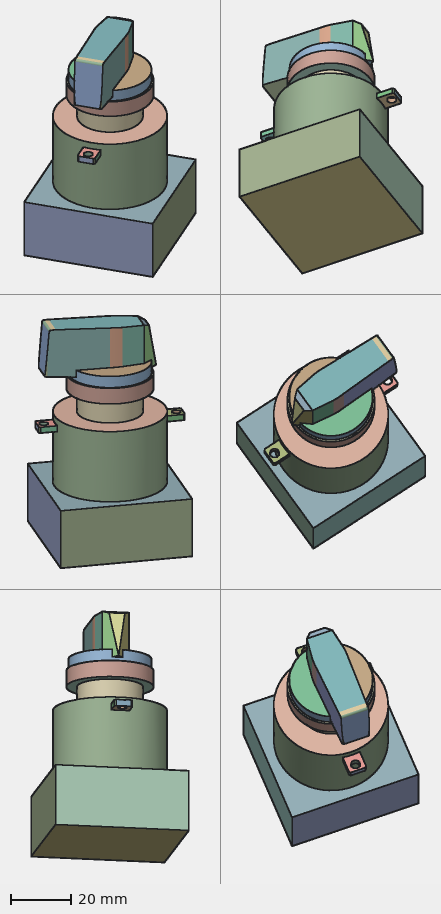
import cadquery as cq

base_side = 45.0
base_height = 20.4

barrel_diameter = 38.0
barrel_top = 45.4
neck_diameter = 22.0
neck_top = 53.5
collar_diameter = 29.0
collar_top = 59.05
disc_diameter = 27.6
disc_top = 63.0

lug_reach = 50.0 / 2
lug_width = 6.1
lug_bottom = 40.95
lug_thickness = 2.1
lug_corner = 0.5
lug_hole_diameter = 3.05
lug_hole_offset = 22.7
lug_embed = 1.55
lug_root = barrel_diameter / 2 - lug_embed

pointer_tip = 15.8
pointer_base = 10.5
pointer_half_width = 4.5
flank_bulge_front = 2.8
flank_bulge_back = -1.3
bulge_middle = (flank_bulge_front + flank_bulge_back) / 2
bulge_end_half_width = 5.6
bulge_half_width = 5.7
tail_end = -23.4
tail_half_width = 4.8
tail_corner_radius = 0.8

knob_top = 78.0
peak_position = -19.7
pointer_bottom = 60.4
pointer_shoulder = (12.7, 75.65)
top_front = (pointer_base, 76.6)
tail_top_edge = -22.0
tail_bottom = 61.5
tail_root = (-12.6, 60.6)
tail_top_radius = 0.8


def cylinder(diameter, bottom, top):
    return cq.Workplane("XY").workplane(offset=bottom).circle(diameter / 2).extrude(top - bottom)


def lug(side):
    """Drilled lug pointing along +Y (side = 1) or -Y (side = -1)."""
    plate = (
        cq.Workplane("XY")
        .workplane(offset=lug_bottom)
        .center(0, side * (lug_root + lug_reach) / 2)
        .rect(lug_width, lug_reach - lug_root)
        .extrude(lug_thickness)
        .faces(">Y" if side > 0 else "<Y")
        .edges("|Z")
        .chamfer(lug_corner)
    )
    hole = (
        cylinder(lug_hole_diameter, lug_bottom, lug_bottom + lug_thickness)
        .translate((0, side * lug_hole_offset, 0))
    )
    return plate.cut(hole)


def make_base():
    return cq.Workplane("XY").box(base_side, base_side, base_height, centered=(True, True, False))


def make_barrel():
    body = cylinder(barrel_diameter, base_height, barrel_top)
    for side in (1, -1):
        body = body.union(lug(side))
    return body


def make_neck():
    return cylinder(neck_diameter, barrel_top, neck_top)


def make_collar():
    return cylinder(collar_diameter, neck_top, collar_top)


def grip_plan():
    """Grip outline extruded upright: pointed front, bulging flanks, rounded tail corners."""
    return (
        cq.Workplane("XY")
        .workplane(offset=collar_top)
        .moveTo(0, pointer_tip)
        .lineTo(pointer_half_width, pointer_base)
        .lineTo(bulge_end_half_width, flank_bulge_front)
        .threePointArc((bulge_half_width, bulge_middle), (bulge_end_half_width, flank_bulge_back))
        .lineTo(tail_half_width, tail_end)
        .lineTo(-tail_half_width, tail_end)
        .lineTo(-bulge_end_half_width, flank_bulge_back)
        .threePointArc((-bulge_half_width, bulge_middle), (-bulge_end_half_width, flank_bulge_front))
        .lineTo(-pointer_half_width, pointer_base)
        .close()
        .extrude(knob_top - collar_top)
        .edges("|Z and <Y")
        .fillet(tail_corner_radius)
    )


def grip_side():
    """Side profile of the grip, extruded across its full width."""
    return (
        cq.Workplane("YZ")
        .moveTo(pointer_tip, pointer_bottom)
        .lineTo(*pointer_shoulder)
        .lineTo(*top_front)
        .lineTo(peak_position, knob_top)
        .lineTo(tail_top_edge, knob_top)
        .lineTo(tail_end, tail_bottom)
        .lineTo(*tail_root)
        .lineTo(tail_root[0], pointer_bottom)
        .close()
        .extrude(bulge_half_width, both=True)
        .faces(">Z").edges("|X and <Y")
        .fillet(tail_top_radius)
    )


def make_knob():
    disc = cylinder(disc_diameter, collar_top, disc_top)
    return disc.union(grip_plan().intersect(grip_side()))


base = make_base()
barrel = make_barrel()
neck = make_neck()
collar = make_collar()
knob = make_knob()

result = cq.Compound.makeCompound([base.val(), barrel.val(), neck.val(), collar.val(), knob.val()])